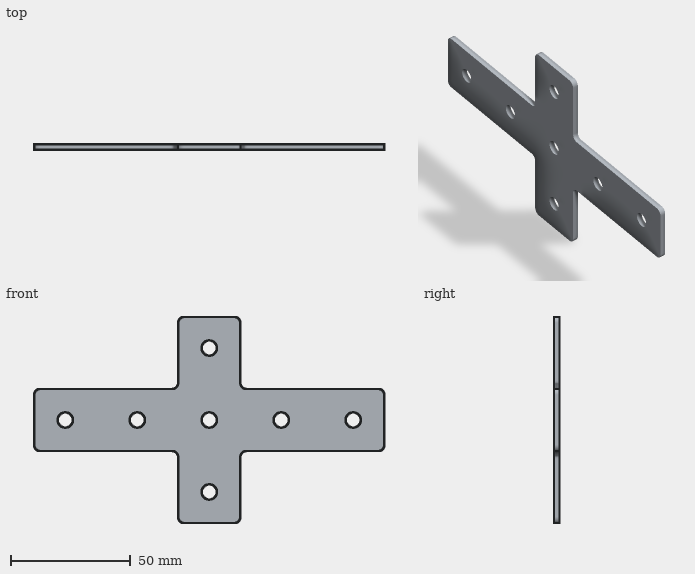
import cadquery as cq

length = 146.0
height = 86.0
thickness = 2.5
arm_width = 26.0
corner_radius = 2.5
hole_diameter = 6.3

reach_x = (length - arm_width) / 2
reach_z = (height - arm_width) / 2
hole_centres = [
    (-reach_x, 0),
    (-reach_x / 2, 0),
    (0, 0),
    (reach_x / 2, 0),
    (reach_x, 0),
    (0, reach_z),
    (0, -reach_z),
]


def arm(size_x, size_z):
    """Rectangular strip centred on the origin."""
    return cq.Workplane("XY").box(size_x, thickness, size_z)


plate = arm(length, arm_width).union(arm(arm_width, height))
plate = plate.edges("|Y").fillet(corner_radius)

holes = (
    cq.Workplane("XZ", origin=(0, thickness / 2, 0))
    .pushPoints(hole_centres)
    .circle(hole_diameter / 2)
    .extrude(thickness)
)

result = plate.cut(holes)